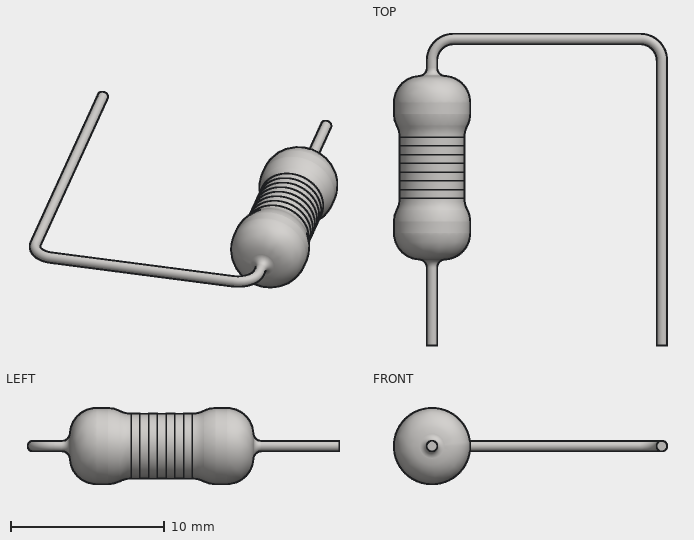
import cadquery as cq
import math

lead_diameter = 0.7
lead_radius = lead_diameter / 2
lead_pitch = 15.0
bend_radius = 2 * lead_diameter
return_lead_y = 20.0

body_center_y = 11.6
body_radius = 5.0 / 2
body_half_length = 6.0
end_round_radius = 1.75
lead_fillet_radius = 0.5

waist_radius = 4.25 / 2
waist_half_length = 2.0
shoulder_length = 1.5

band_radius = 4.27 / 2
band_count = 4
band_width = 2 * waist_half_length / (2 * band_count - 1)


def make_body_end():
    """Revolve the +Y end of the body: shoulder, bulge, rounded end and fillet to the lead."""
    bulge_start = waist_half_length + shoulder_length
    bulge_end = body_half_length - end_round_radius
    shoulder_middle = (
        (waist_radius + body_radius) / 2,
        waist_half_length + shoulder_length / 2,
    )

    round_center_r = body_radius - end_round_radius
    fillet_center_r = lead_radius + lead_fillet_radius
    centers_distance = end_round_radius + lead_fillet_radius
    centers_dr = fillet_center_r - round_center_r
    fillet_end = bulge_end + math.sqrt(centers_distance**2 - centers_dr**2)
    contact_fraction = end_round_radius / centers_distance
    fillet_contact = (
        round_center_r + contact_fraction * centers_dr,
        bulge_end + contact_fraction * (fillet_end - bulge_end),
    )

    profile = (
        cq.Workplane("XY")
        .moveTo(0, waist_half_length)
        .lineTo(0, fillet_end)
        .lineTo(lead_radius, fillet_end)
        .radiusArc(fillet_contact, -lead_fillet_radius)
        .radiusArc((body_radius, bulge_end), end_round_radius)
        .lineTo(body_radius, bulge_start)
        .tangentArcPoint(shoulder_middle, relative=False)
        .tangentArcPoint((waist_radius, waist_half_length), relative=False)
        .close()
    )
    return profile.revolve(360, (0, 0, 0), (0, 1, 0))


def make_cylinder(radius, start, length):
    """Cylinder on the body axis, running from start towards +Y."""
    return cq.Workplane("XZ", origin=(0, start, 0)).circle(radius).extrude(-length)


def make_body():
    """Waist, two mirrored ends and the colour bands standing slightly proud of the waist."""
    body = make_cylinder(waist_radius, -waist_half_length, 2 * waist_half_length)
    end = make_body_end()
    body = body.union(end).union(end.mirror("XZ"))
    for index in range(band_count):
        band_start = -waist_half_length + 2 * index * band_width
        body = body.union(make_cylinder(band_radius, band_start, band_width))
    return body.translate((0, body_center_y, 0))


def make_lead():
    """One wire through the body, bent twice to return parallel to itself."""
    bend_y = return_lead_y - bend_radius
    path = (
        cq.Workplane("XY")
        .lineTo(0, bend_y)
        .tangentArcPoint((bend_radius, return_lead_y), relative=False)
        .lineTo(lead_pitch - bend_radius, return_lead_y)
        .tangentArcPoint((lead_pitch, bend_y), relative=False)
        .lineTo(lead_pitch, 0)
    )
    return cq.Workplane("XZ").circle(lead_radius).sweep(path)


result = make_body().union(make_lead())